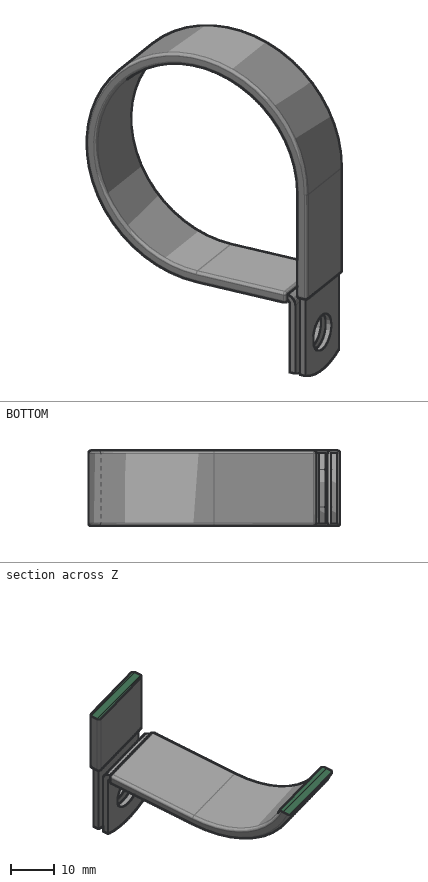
import cadquery as cq
import math

loop_radius = 29.0
height = 77.35
cushion_width = 17.5

cushion_thickness = 2.9
cushion_round = 0.7
lower_cushion_end_x = 23.5
side_cushion_end_z = -27.0

strap_thickness = 1.5
strap_width = 16.2
tab_gap = 1.2
bend_inner_radius = 0.8
tip_rise = 1.8

hole_diameter = 8.75
hole_to_tip = 9.6

mid_radius = loop_radius - cushion_thickness / 2
tip_z = loop_radius - height
outer_tab_x = mid_radius - strap_thickness / 2
inner_tab_x = outer_tab_x - tab_gap - strap_thickness
inner_tab_right_x = inner_tab_x + strap_thickness
bend_outer_radius = bend_inner_radius + strap_thickness
strap_top_z = -mid_radius + strap_thickness / 2
overlap = 0.8


def extrude_across(profile, width):
    """Extrude an XZ profile symmetrically about Y = 0."""
    return profile.extrude(width / 2, both=True)


def make_cushion():
    """Three-quarter loop with two straight legs and every edge rounded."""
    inner_radius = loop_radius - cushion_thickness
    diagonal = math.sqrt(0.5)
    profile = (
        cq.Workplane("XZ")
        .moveTo(lower_cushion_end_x, -loop_radius)
        .lineTo(0, -loop_radius)
        .threePointArc((-loop_radius * diagonal, loop_radius * diagonal), (loop_radius, 0))
        .lineTo(loop_radius, side_cushion_end_z)
        .lineTo(inner_radius, side_cushion_end_z)
        .lineTo(inner_radius, 0)
        .threePointArc((-inner_radius * diagonal, inner_radius * diagonal), (0, -inner_radius))
        .lineTo(lower_cushion_end_x, -inner_radius)
        .close()
    )
    cushion = extrude_across(profile, cushion_width)
    rims = cushion.faces("<Y or >Y").edges()
    end_edges = cushion.edges("|Y").edges(
        cq.selectors.BoxSelector(
            (lower_cushion_end_x - overlap, -cushion_width, -loop_radius - overlap),
            (loop_radius + overlap, cushion_width, overlap - inner_radius),
        )
    )
    return cushion.newObject(rims.vals() + end_edges.vals()).fillet(cushion_round)


def make_outer_tab():
    """Straight strap end leaving the vertical leg of the cushion."""
    top_z = side_cushion_end_z + overlap
    profile = (
        cq.Workplane("XZ")
        .moveTo(outer_tab_x, tip_z)
        .lineTo(outer_tab_x + strap_thickness, tip_z)
        .lineTo(outer_tab_x + strap_thickness, top_z)
        .lineTo(outer_tab_x, top_z)
        .close()
    )
    return extrude_across(profile, strap_width)


def make_inner_tab():
    """Strap end leaving the horizontal leg and bending down beside the outer tab."""
    bend_x = inner_tab_right_x - bend_outer_radius
    bend_z = strap_top_z - bend_outer_radius
    start_x = bend_x - overlap
    profile = (
        cq.Workplane("XZ")
        .moveTo(start_x, strap_top_z)
        .lineTo(bend_x, strap_top_z)
        .radiusArc((inner_tab_right_x, bend_z), bend_outer_radius)
        .lineTo(inner_tab_right_x, tip_z)
        .lineTo(inner_tab_x, tip_z)
        .lineTo(inner_tab_x, bend_z)
        .radiusArc((bend_x, strap_top_z - strap_thickness), -bend_inner_radius)
        .lineTo(start_x, strap_top_z - strap_thickness)
        .close()
    )
    return extrude_across(profile, strap_width)


def make_tab_outline():
    """Prism along X that gives both tabs their arched tip and bolt hole."""
    half_width = strap_width / 2
    outline = (
        cq.Workplane("YZ")
        .moveTo(-half_width, 0)
        .lineTo(-half_width, tip_z + tip_rise)
        .threePointArc((0, tip_z), (half_width, tip_z + tip_rise))
        .lineTo(half_width, 0)
        .close()
        .extrude(loop_radius)
    )
    hole = (
        cq.Workplane("YZ")
        .center(0, tip_z + hole_to_tip)
        .circle(hole_diameter / 2)
        .extrude(loop_radius)
    )
    return outline.cut(hole)


tabs = make_outer_tab().union(make_inner_tab()).intersect(make_tab_outline())
result = make_cushion().union(tabs)